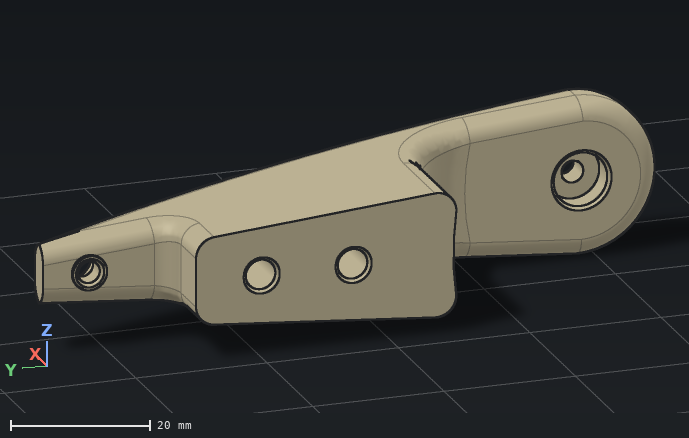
import cadquery as cq

END_RADIUS = 12.0
TIP_Y = 87.0
TIP_HALF_WIDTH = 4.8

BLOCK_LOW_Y = 27.8
BLOCK_LOW_HOLLOW_RADIUS = 45.0
BLOCK_HIGH_Y = 67.0
ARM_FRONT_X = 23.85
TIP_FRONT_X = 9.5
ARM_BLEND_RADIUS = 10.0
TIP_BLEND_RADIUS = 3.0

BACK_X = 32.43
BACK_DEEPEST_Y = -14.0
BACK_RADIUS = 273.5

EDGE_RADIUS = 3.0

SCREW_DIAMETER = 3.3
HOLE_CHAMFER = 0.5

END_BORE_DIAMETER = 8.15
END_BORE_DEPTH = 4.0

MOUNT_HOLE_DIAMETER = 4.5
MOUNT_HOLE_DEPTH = 10.0
MOUNT_HOLE_YS = (43.0, 57.0)

TIP_HOLE_Y = 80.0
TIP_BOSS_DIAMETER = 5.2
TIP_BOSS_HEIGHT = 0.5
TIP_HEAD_DIAMETER = 6.0
TIP_FLOOR_THICKNESS = 3.0

MARGIN = 5.0
SMALL = 0.01


def outline_prism(depth):
    """Lever outline extruded from X = 0 to the given depth."""
    return (
        cq.Workplane("YZ")
        .moveTo(0, END_RADIUS)
        .threePointArc((-END_RADIUS, 0), (0, -END_RADIUS))
        .lineTo(TIP_Y, -TIP_HALF_WIDTH)
        .lineTo(TIP_Y, TIP_HALF_WIDTH)
        .close()
        .extrude(depth)
    )


def extrude_across(profile):
    """Extrude an XY profile past both sides of the lever."""
    return profile.extrude(END_RADIUS + MARGIN, both=True)


def round_rim(body, faces):
    """Round the edges where the given faces meet the outline, but not those crossing the middle plane."""
    rim = []
    for edge in faces.edges().vals():
        centre = edge.Center()
        goes_round_end = centre.y < 0
        if goes_round_end or abs(centre.z) > SMALL:
            rim.append(edge)
    return body.newObject(rim).fillet(EDGE_RADIUS)


def below_block_cutter():
    """Space in front of the arm, turned about an axis along X so that the block's low side is hollow."""
    hollow = BLOCK_LOW_HOLLOW_RADIUS
    blend = ARM_BLEND_RADIUS
    return (
        cq.Workplane("XY", origin=(0, BLOCK_LOW_Y - hollow, 0))
        .moveTo(-MARGIN, 0)
        .lineTo(-MARGIN, -hollow)
        .lineTo(ARM_FRONT_X - blend, -hollow)
        .radiusArc((ARM_FRONT_X, blend - hollow), -blend)
        .lineTo(ARM_FRONT_X, 0)
        .close()
        .revolve(360, (0, 0, 0), (1, 0, 0))
    )


def above_block_cutter():
    """Space in front of the tip."""
    high_end = TIP_Y + MARGIN
    return extrude_across(
        cq.Workplane("XY")
        .moveTo(-MARGIN, BLOCK_HIGH_Y)
        .lineTo(TIP_FRONT_X - TIP_BLEND_RADIUS, BLOCK_HIGH_Y)
        .radiusArc((TIP_FRONT_X, BLOCK_HIGH_Y + TIP_BLEND_RADIUS), -TIP_BLEND_RADIUS)
        .lineTo(TIP_FRONT_X, high_end)
        .lineTo(-MARGIN, high_end)
        .close()
    )


def front_body():
    """Outline with the stepped front cut and its edges rounded, running on past the back."""
    body = outline_prism(BACK_X + MARGIN).cut(below_block_cutter()).cut(above_block_cutter())

    nearest = (SMALL, -END_RADIUS, -SMALL)
    farthest = (ARM_FRONT_X + SMALL, TIP_Y - SMALL, SMALL)
    cut_faces = body.faces(cq.selectors.BoxSelector(nearest, farthest))
    return round_rim(body, cut_faces)


def back_body():
    """Outline with the arched back and its edge rounded, running on to X = 0 at the front."""
    arch = extrude_across(
        cq.Workplane("XY").center(BACK_X - BACK_RADIUS, BACK_DEEPEST_Y).circle(BACK_RADIUS)
    )
    body = outline_prism(BACK_X + MARGIN).intersect(arch)
    arched_face = body.faces("%CYLINDER").faces(">X")
    return round_rim(body, arched_face)


def cylinder_x(diameter, start_x, end_x, y):
    """Cylinder along X between two X positions, centred at the given Y."""
    return (
        cq.Workplane("YZ", origin=(start_x, y, 0))
        .circle(diameter / 2)
        .extrude(end_x - start_x)
    )


def chamfered_hole(diameter, mouth_x, end_x, y):
    """Cutter for a hole along X with a 45 degree chamfer at its mouth."""
    countersink = (
        cq.Workplane("YZ", origin=(mouth_x, y, 0))
        .circle(diameter / 2 + HOLE_CHAMFER)
        .extrude(HOLE_CHAMFER, taper=45)
    )
    return cylinder_x(diameter, mouth_x, end_x, y).union(countersink)


def add_end_hole(body):
    """Counterbored screw hole through the round end."""
    bore = chamfered_hole(END_BORE_DIAMETER, ARM_FRONT_X, ARM_FRONT_X + END_BORE_DEPTH, 0)
    screw = cylinder_x(SCREW_DIAMETER, ARM_FRONT_X, BACK_X + MARGIN, 0)
    return body.cut(bore).cut(screw)


def add_mount_holes(body):
    """Blind holes in the mounting face."""
    for y in MOUNT_HOLE_YS:
        body = body.cut(chamfered_hole(MOUNT_HOLE_DIAMETER, 0, MOUNT_HOLE_DEPTH, y))
    return body


def add_tip_hole(body):
    """Raised ring at the tip with a screw hole through it and a head recess in the back."""
    ring_x = TIP_FRONT_X - TIP_BOSS_HEIGHT
    floor_x = TIP_FRONT_X + TIP_FLOOR_THICKNESS
    rear_x = BACK_X + MARGIN
    ring = cylinder_x(TIP_BOSS_DIAMETER, ring_x, floor_x, TIP_HOLE_Y)
    screw = chamfered_hole(SCREW_DIAMETER, ring_x, rear_x, TIP_HOLE_Y)
    head_recess = cylinder_x(TIP_HEAD_DIAMETER, floor_x, rear_x, TIP_HOLE_Y)
    return body.union(ring).cut(screw).cut(head_recess)


lever = front_body().intersect(back_body())
lever = add_end_hole(lever)
lever = add_mount_holes(lever)
result = add_tip_hole(lever)